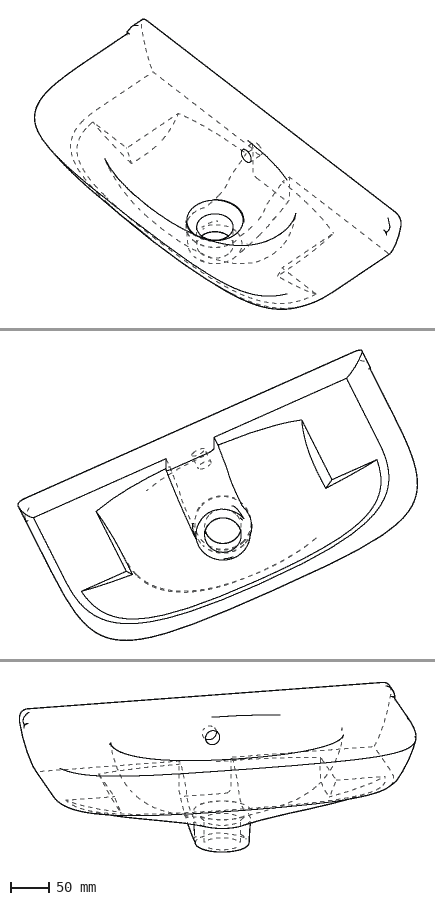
import cadquery as cq


half_width = 250.0
front_reach = 250.5
side_flat = 101.0
circle_fullness = 0.5523
rim_round = 5.5
overlap = 5.0
bevel_top_z = -68.0
rim_depth = 6.0
body_sections = [
    (-rim_depth, half_width, front_reach, 0.91),
    (-40.0, 242.5, 233.0, 0.88),
    (bevel_top_z, 232.5, 216.0, 0.83),
]
skirt_z = -77.0
skirt_fullness = 0.76
skirt_setback = 5.0

drain_reach = side_flat
drain_y = -drain_reach
drain_top_radius = 38.0
drain_end_radius = 35.5
drain_hole_diameter = 48.0
drain_end_z = -160.5
drain_seat_radius = 37.0
drain_seat_depth = 12.5
drain_end_round = 2.5

underside_z = -126.0
underside_sections = [
    (bevel_top_z, 230.0, 214.0, 5.0, 0.82),
    (-82.5, 204.0, 200.0, 17.5, 0.75),
    (-100.0, 141.0, 179.0, 39.0, 0.65),
    (-115.0, 75.0, 156.0, 47.0, 0.6),
    (underside_z, drain_top_radius, drain_reach + drain_top_radius, drain_reach - drain_top_radius,
     circle_fullness),
]
underside_rear_fullness = 0.7
recess_top_x = 155.0
recess_bottom_x = 130.0
recess_front = 120.0

upstand_height = 11.5
upstand_top_depth = 14.0
upstand_foot_depth = 26.0
upstand_crown = (-17.5, 9.5)
upstand_bend = (-19.0, 6.0)
upstand_cove = (-21.5, 2.0)
upstand_end_round = 11.0

bowl_floor_z = -114.0
bowl_sections = [
    (0.0, 155.0, 221.5, 41.5, 130.0, 0.64),
    (-30.0, 149.0, 212.0, 44.5, 127.5, 0.64),
    (-60.0, 135.0, 198.0, 47.0, 122.5, 0.64),
    (-92.5, 102.5, 169.0, 52.0, 112.5, 0.6),
    (bowl_floor_z, drain_top_radius, drain_reach + drain_top_radius, drain_reach - drain_top_radius,
     drain_reach, circle_fullness),
]
bowl_rim_round = 5.0

web_half_width = 35.0
web_wall_z = -126.5
web_sag_point = (-30.0, -144.5)
web_foot_y = -70.0
web_lift = 1.5
web_round = 7.0

overflow_diameter = 19.0
overflow_z = -32.0
overflow_end_y = -25.0
overflow_length = 40.0


def quarter(sketch, start, end, corner, fullness):
    """Add a rounded quarter whose tangents meet at the corner point."""
    handles = [
        tuple(p + fullness * (c - p) for p, c in zip(point, corner))
        for point in (start, end)
    ]
    return sketch.bezier([start, handles[0], handles[1], end])


def deck_wire(z, width, reach, fullness):
    """Plan outline: straight back and sides with a full, rounded front."""
    right = (width, -side_flat)
    left = (-width, -side_flat)
    front = (0, -reach)
    sketch = cq.Workplane("XY", origin=(0, 0, z)).moveTo(-width, 0).lineTo(width, 0).lineTo(*right)
    sketch = quarter(sketch, right, front, (width, -reach), fullness)
    sketch = quarter(sketch, front, left, (-width, -reach), fullness)
    return sketch.close().val()


def oval_wire(z, width, front_y, rear_y, widest_y, front_fullness, rear_fullness):
    """Egg-shaped plan outline made of four rounded quarters."""
    right, left = (width, widest_y), (-width, widest_y)
    front, rear = (0, front_y), (0, rear_y)
    sketch = cq.Workplane("XY", origin=(0, 0, z)).moveTo(*right)
    sketch = quarter(sketch, right, front, (width, front_y), front_fullness)
    sketch = quarter(sketch, front, left, (-width, front_y), front_fullness)
    sketch = quarter(sketch, left, rear, (-width, rear_y), rear_fullness)
    sketch = quarter(sketch, rear, right, (width, rear_y), rear_fullness)
    return sketch.close().val()


def loft(wires, ruled=False):
    return cq.Workplane(obj=cq.Solid.makeLoft(wires, ruled))


def make_body():
    wires = [deck_wire(*section) for section in body_sections]
    deck = deck_wire(0, *body_sections[0][1:])
    _, width, reach, _ = body_sections[-1]
    skirt_end = deck_wire(skirt_z, width - skirt_setback, reach - skirt_setback, skirt_fullness)
    body = loft([deck, wires[0]], ruled=True).union(loft(wires))
    body = body.union(loft([wires[-1], skirt_end], ruled=True))
    rim_edges = body.faces(">Z").edges("not >Y")
    return rim_edges.fillet(rim_round)


def make_underside():
    wires = [
        oval_wire(z, width, -front, -rear, drain_y, fullness, underside_rear_fullness)
        for z, width, front, rear, fullness in underside_sections
    ]
    underside = loft(wires)
    recess_top_z = bevel_top_z + overlap
    for side in (-1, 1):
        recess = (
            cq.Workplane("XZ")
            .moveTo(side * recess_top_x, recess_top_z)
            .lineTo(side * half_width, recess_top_z)
            .lineTo(side * half_width, underside_z)
            .lineTo(side * recess_bottom_x, underside_z)
            .close()
            .extrude(recess_front)
        )
        underside = underside.cut(recess)
    return underside


def make_upstand():
    upstand = (
        cq.Workplane("YZ")
        .moveTo(0, -rim_round)
        .lineTo(0, upstand_height)
        .lineTo(-upstand_top_depth, upstand_height)
        .threePointArc(upstand_crown, upstand_bend)
        .threePointArc(upstand_cove, (-upstand_foot_depth, 0))
        .lineTo(-upstand_foot_depth, -rim_round)
        .close()
        .extrude(half_width, both=True)
    )
    end_edges = upstand.faces(">Z").edges("|Y")
    return end_edges.fillet(upstand_end_round)


def make_bowl():
    wires = []
    for z, width, front, rear, widest, fullness in bowl_sections:
        wires.append(oval_wire(z, width, -front, -rear, -widest, fullness, fullness))
    return loft(wires)


def cone(radius_1, z_1, radius_2, z_2):
    """Round vertical frustum on the drain axis."""
    base = cq.Vector(0, drain_y, z_1)
    down = cq.Vector(0, 0, -1)
    return cq.Workplane(obj=cq.Solid.makeCone(radius_1, radius_2, z_1 - z_2, base, down))


def make_web():
    web_foot_z = drain_end_z + web_lift
    web_top_z = skirt_z + overlap
    web = (
        cq.Workplane("YZ")
        .moveTo(0, web_top_z)
        .lineTo(0, web_wall_z)
        .threePointArc(web_sag_point, (web_foot_y, web_foot_z))
        .lineTo(drain_y, web_foot_z)
        .lineTo(drain_y, web_top_z)
        .close()
        .extrude(web_half_width, both=True)
    )
    return web.edges("%CIRCLE").fillet(web_round)


def make_overflow():
    """Blind overflow hole running from the bowl towards the wall."""
    front = cq.Workplane("XZ", origin=(0, overflow_end_y, overflow_z))
    return front.circle(overflow_diameter / 2).extrude(overflow_length)


result = make_body().union(make_upstand()).union(make_underside()).union(make_web())
drain = cone(drain_top_radius, underside_z + overlap, drain_end_radius, drain_end_z)
result = result.union(drain.faces("<Z").edges().fillet(drain_end_round))

result = result.cut(make_bowl())
rim_margin = 2 * rim_round
bowl_rim = cq.selectors.BoxSelector(
    (-half_width + rim_margin, -front_reach + rim_margin, -rim_margin),
    (half_width - rim_margin, -upstand_foot_depth, rim_margin),
    boundingbox=True,
)
result = result.edges(bowl_rim).fillet(bowl_rim_round)

drain_radius = drain_hole_diameter / 2
seat_end_z = bowl_floor_z - drain_seat_depth
result = result.cut(cone(drain_seat_radius, bowl_floor_z, drain_radius, seat_end_z))
drain_hole = cq.Workplane("XY", origin=(0, drain_y, drain_end_z)).circle(drain_radius)
result = result.cut(drain_hole.extrude(bowl_floor_z - drain_end_z))
result = result.cut(make_overflow())